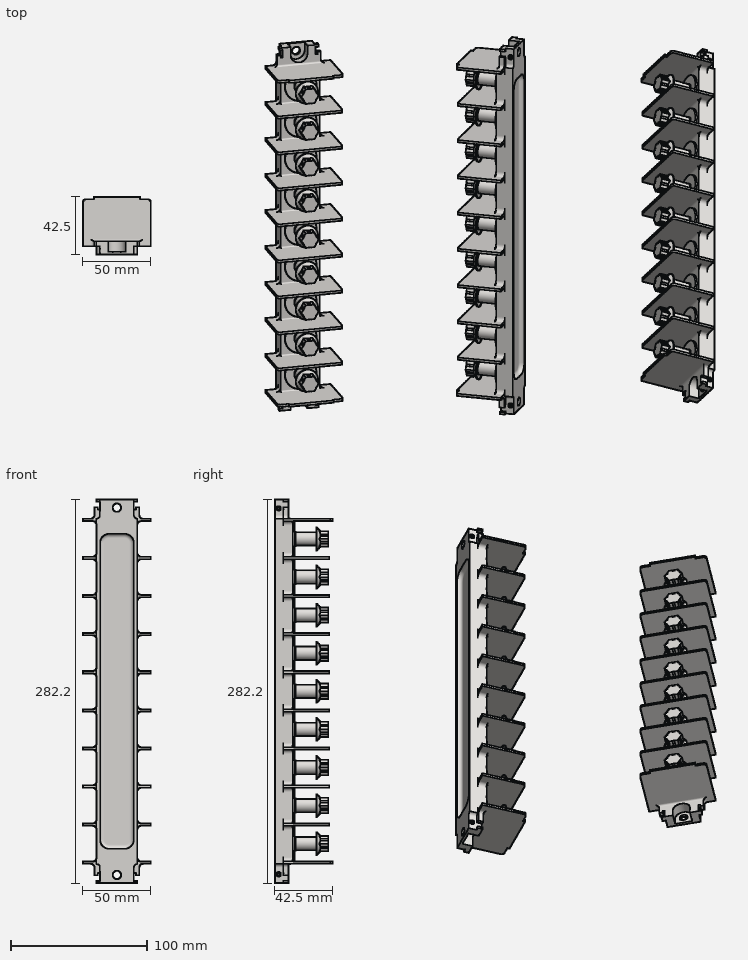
import cadquery as cq
import math

length = 282.2
depth = 42.5
fin_width = 50.0
fin_pitch = 28.0
fin_count = 10
fin_thickness = 1.9
first_fin_z = -fin_pitch * (fin_count - 1) / 2

half_length = length / 2
body_width = 30.0
body_back = 13.0
end_width = 25.0
end_back = 10.0
shoulder_z = -first_fin_z + fin_thickness / 2
shoulder_fillet = 2.5
end_back_fillet = 1.3

fin_front = 6.2
fin_back = 40.0
end_fin_back = 40.8
end_fin_tongue_width = 34.0
fin_corner_radius = 2.2
fin_root_fillet = 3.0
fin_back_fillet = 1.0

rail_width = 33.2
rail_tip_z = -first_fin_z + 9.4
rail_notch_z = -first_fin_z + 7.7
rail_notch_width = 28.0
lug_height = 1.8

hole_z = 135.0
hole_diameter = 6.0
slot_diameter = 12.8
slot_floor = 2.0
side_hole_z = 134.5
side_hole_y = 2.7
side_hole_diameter = 2.0
side_hole_depth = 4.0
side_counterbore_diameter = 3.4
side_counterbore_depth = 1.0

pocket_width = 24.8
pocket_length = 231.6
pocket_depth = 3.5
pocket_corner_radius = 6.8
pocket_floor_fillet = 3.0

pad_diameter = 24.0
pad_back = 14.5
stud_diameter = 10.0
collar_diameter = 10.4
collar_back = 15.4
flange_diameter = 17.0
flange_front = 30.2
flange_rim_back = 30.8
cone_back = 33.4
hex_sides = 6
hex_flats = 11.5
head_back = 39.2
groove_width = 1.5
groove_depth = 0.2


def block(x_min, x_max, y_min, y_max, z_min, z_max):
    """Axis-aligned box given by its limits."""
    size = cq.Workplane("XY").box(x_max - x_min, y_max - y_min, z_max - z_min, centered=False)
    return size.translate((x_min, y_min, z_min))


def cylinder_y(diameter, y_min, y_max, z):
    """Cylinder on the Y direction at x = 0 and the given height."""
    return cq.Workplane("XZ", origin=(0, y_min, z)).circle(diameter / 2).extrude(y_min - y_max)


def make_fin(z, is_end):
    """Thin plate across the body; the end fins carry a wider tongue at the back."""
    back = end_fin_back if is_end else fin_back
    fin = block(-fin_width / 2, fin_width / 2, fin_front, back, -fin_thickness / 2, fin_thickness / 2)
    fin = fin.edges("|Z and >Y").fillet(fin_corner_radius)
    if is_end:
        half_tongue = end_fin_tongue_width / 2
        fin = fin.union(
            block(-half_tongue, half_tongue, end_back, depth, -fin_thickness / 2, fin_thickness / 2)
        )
    return fin.translate((0, 0, z))


def concave_corner(plane, offset, u, v, u_sign, v_sign, radius, thickness):
    """Fillet filler at the inside corner (u, v), opening toward the signed directions."""
    centre_u = u + u_sign * radius
    centre_v = v + v_sign * radius
    reach = radius * (1 - math.sqrt(0.5))
    return (
        cq.Workplane(plane).workplane(offset=offset)
        .moveTo(u, v)
        .lineTo(centre_u, v)
        .threePointArc((u + u_sign * reach, v + v_sign * reach), (u, centre_v))
        .close()
        .extrude(thickness)
    )


def fin_root(z, direction):
    """Fillets on one face of a fin where it meets the sides and the back of the body."""
    face_z = z + direction * fin_thickness / 2
    half_width = body_width / 2
    side_length = body_back - fin_front
    filler = concave_corner(
        "YZ", -half_width, body_back, face_z, 1, direction, fin_back_fillet, body_width
    )
    for side in (-1, 1):
        filler = filler.union(
            concave_corner(
                "XZ", -body_back, side * half_width, face_z, side, direction, fin_root_fillet, side_length
            )
        )
    return filler


def shoulder_blend():
    """Concave fillets where the narrow end and its rails rise from the end fin and body shoulder."""
    half_end = end_width / 2
    half_rail = rail_width / 2
    blend_back = end_back + end_back_fillet
    back_blend = concave_corner(
        "YZ", -half_rail - shoulder_fillet, end_back, shoulder_z, 1, 1,
        end_back_fillet, rail_width + 2 * shoulder_fillet,
    )
    blend = back_blend.intersect(
        block(-half_rail, half_rail, end_back, blend_back, shoulder_z, half_length)
    )
    for side in (-1, 1):
        rail_blend = concave_corner(
            "XZ", -blend_back, side * half_rail, shoulder_z, side, 1, shoulder_fillet, blend_back - fin_front
        )
        rail_side = rail_blend.intersect(
            block(-fin_width / 2, fin_width / 2, fin_front, end_back, shoulder_z, half_length)
        )
        mitre = rail_blend.intersect(back_blend)
        body_blend = concave_corner(
            "XZ", -fin_front, side * half_end, shoulder_z, side, 1, shoulder_fillet, fin_front
        )
        blend = blend.union(rail_side).union(mitre).union(body_blend)
    return blend


def make_upper_end():
    """Narrow end above the last fin: plate, hooked rails, lugs, screw slot and side holes."""
    half_end = end_width / 2
    half_body = body_width / 2
    half_rail = rail_width / 2
    half_notch = rail_notch_width / 2
    end = block(-half_end, half_end, 0, end_back, shoulder_z, half_length)
    end = end.union(block(-half_rail, half_rail, fin_front, end_back, shoulder_z, rail_notch_z))
    end = end.union(
        block(-half_body, half_body, fin_front, end_back, half_length - lug_height, half_length)
    )
    for side in (-1, 1):
        inner, outer = sorted((side * half_notch, side * half_rail))
        end = end.union(block(inner, outer, fin_front, end_back, shoulder_z, rail_tip_z))
    end = end.union(shoulder_blend())

    slot_radius = slot_diameter / 2
    end = end.cut(block(-slot_radius, slot_radius, slot_floor, end_back, hole_z, half_length))
    end = end.cut(cylinder_y(slot_diameter, slot_floor, end_back, hole_z))
    end = end.cut(cylinder_y(hole_diameter, 0, slot_floor, hole_z))
    for side in (-1, 1):
        for diameter, hole_depth in (
            (side_hole_diameter, side_hole_depth),
            (side_counterbore_diameter, side_counterbore_depth),
        ):
            hole = cq.Workplane("YZ", origin=(side * half_end, side_hole_y, side_hole_z))
            end = end.cut(hole.circle(diameter / 2).extrude(-side * hole_depth))
    return end


def make_stud(z):
    """Round pad, shank and flanged hexagon head."""
    pad = cylinder_y(pad_diameter, body_back, pad_back, z)
    collar = cylinder_y(collar_diameter, pad_back, collar_back, z)
    shank = cylinder_y(stud_diameter, collar_back, flange_front, z)
    flange = (
        cq.Workplane("XY")
        .moveTo(0, flange_front)
        .lineTo(flange_diameter / 2, flange_front)
        .lineTo(flange_diameter / 2, flange_rim_back)
        .lineTo(hex_flats / 2, cone_back)
        .lineTo(0, cone_back)
        .close()
        .revolve(360, (0, 0, 0), (0, 1, 0))
        .translate((0, 0, z))
    )
    hex_corners = hex_flats / math.cos(math.pi / hex_sides)
    head = cq.Workplane("XZ", origin=(0, flange_rim_back, z)).polygon(hex_sides, hex_corners)
    head = head.extrude(flange_rim_back - head_back)
    for index in range(hex_sides):
        groove = block(
            -groove_width / 2, groove_width / 2, flange_front, head_back,
            hex_flats / 2 - groove_depth, hex_flats / 2,
        )
        groove = groove.rotate((0, 0, 0), (0, 1, 0), 360 / hex_sides * index)
        head = head.cut(groove.translate((0, 0, z)))
    return pad.union(collar).union(shank).union(head).union(flange)


def cut_pocket(body):
    """Rounded rectangular pocket in the front face with a filleted floor edge."""
    pocket = block(
        -pocket_width / 2, pocket_width / 2, 0, pocket_depth, -pocket_length / 2, pocket_length / 2
    )
    pocket = pocket.edges("|Y").fillet(pocket_corner_radius)
    pocket = pocket.faces(">Y").edges().fillet(pocket_floor_fillet)
    return body.cut(pocket)


def make_part():
    """Body with both ends, the row of fins and a stud in every bay between fins."""
    body = block(-body_width / 2, body_width / 2, 0, body_back, -shoulder_z, shoulder_z)
    body = cut_pocket(body)
    upper_end = make_upper_end()
    body = body.union(upper_end).union(upper_end.mirror("XY"))
    for index in range(fin_count):
        fin_z = first_fin_z + index * fin_pitch
        is_lowest = index == 0
        is_highest = index == fin_count - 1
        body = body.union(make_fin(fin_z, is_lowest or is_highest))
        if not is_lowest:
            body = body.union(fin_root(fin_z, -1))
        if not is_highest:
            body = body.union(fin_root(fin_z, 1))
            body = body.union(make_stud(fin_z + fin_pitch / 2))
    return body


result = make_part()